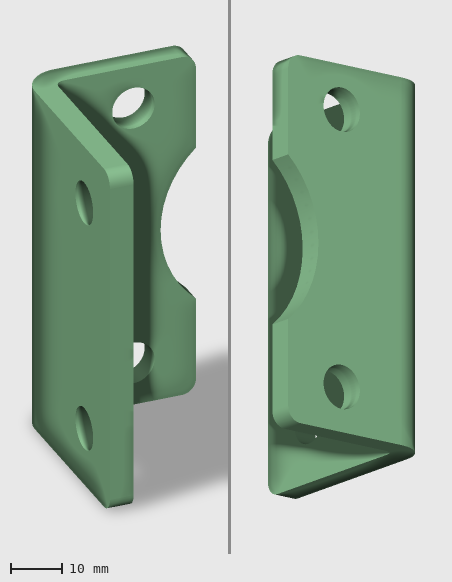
import cadquery as cq

width = 45.0
depth = 35.0
height = 75.0
thickness = 5.0
bend_outer_radius = 7.0
bend_inner_radius = bend_outer_radius - thickness
corner_radius = 3.0

hole_diameter = 9.0
front_hole_x = 32.0
front_hole_spacing = 50.0
side_hole_y = 21.75
side_hole_spacing = 56.55

notch_radius = 22.5
notch_depth = 7.5
notch_center_y = depth - notch_depth + notch_radius


def make_angle():
    """L-section, centred on Z, with its outer faces on X = 0 and Y = 0."""
    section = (
        cq.Workplane("XY")
        .polyline([
            (0, 0),
            (width, 0),
            (width, thickness),
            (thickness, thickness),
            (thickness, depth),
            (0, depth),
        ])
        .close()
        .extrude(height / 2, both=True)
    )
    outer_bend = cq.selectors.NearestToPointSelector((0, 0, 0))
    inner_bend = cq.selectors.NearestToPointSelector((thickness, thickness, 0))
    section = section.edges("|Z").edges(outer_bend).fillet(bend_outer_radius)
    return section.edges("|Z").edges(inner_bend).fillet(bend_inner_radius)


def round_corners(body):
    """Round the four free corners of the two flanges."""
    body = body.faces(">X").edges("|Y").fillet(corner_radius)
    return body.faces(">Y").edges("|X").fillet(corner_radius)


def front_cutter(x, z, diameter):
    """Cylinder along Y through the front flange."""
    return cq.Workplane("XZ").center(x, z).circle(diameter / 2).extrude(-thickness)


def side_cutter(y, z, diameter):
    """Cylinder along X through the side flange."""
    return cq.Workplane("YZ").center(y, z).circle(diameter / 2).extrude(thickness)


result = round_corners(make_angle())

for side in (-1, 1):
    result = result.cut(front_cutter(front_hole_x, side * front_hole_spacing / 2, hole_diameter))
    result = result.cut(side_cutter(side_hole_y, side * side_hole_spacing / 2, hole_diameter))

result = result.cut(side_cutter(notch_center_y, 0, 2 * notch_radius))